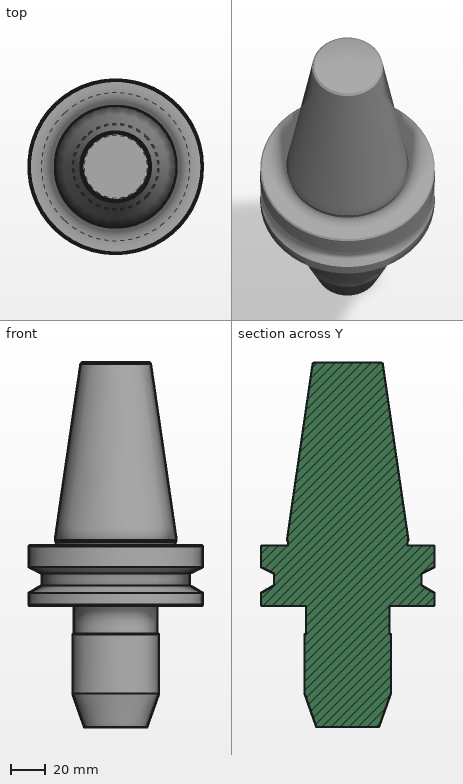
import cadquery as cq

total_height = 209.3
nose_cone_top = 19.5
body_top = 53.8
flange_bottom = 69.5
flange_top = 104.5
gauge_height = 107.4

flange_radius = 100.0 / 2
gauge_radius = 35.0
body_radius = 25.0
neck_radius = 24.0
nose_radius = 18.0

taper_length = total_height - gauge_height
taper_tip_radius = gauge_radius - taper_length * 7 / 24 / 2
tip_chamfer = 1.0
flange_chamfer = 0.8
body_chamfer = 0.6

groove_floor_radius = 42.5
groove_bottom = 77.0
groove_floor_bottom = 81.5
groove_floor_top = 88.1
groove_top = 91.9

collar_radius = 34.3
collar_bevel_height = 1.3


def cylinder(radius, bottom, top):
    return cq.Workplane("XY").workplane(offset=bottom).circle(radius).extrude(top - bottom)


def cone_frustum(bottom_radius, top_radius, bottom, top):
    base = cq.Workplane("XY").workplane(offset=bottom).circle(bottom_radius)
    return base.workplane(offset=top - bottom).circle(top_radius).loft(ruled=True)


def make_nose():
    """Cylindrical body with a conical nose and a narrower neck up to the flange."""
    cone = cone_frustum(nose_radius, body_radius, 0, nose_cone_top)
    body = cylinder(body_radius, nose_cone_top, body_top).faces(">Z").chamfer(body_chamfer)
    neck = cylinder(neck_radius, body_top, flange_bottom)
    return cone.union(body).union(neck)


def make_flange():
    """Chamfered disc with a V groove around its rim."""
    disc = cylinder(flange_radius, flange_bottom, flange_top)
    disc = disc.faces("<Z or >Z").chamfer(flange_chamfer)
    groove = (
        cq.Workplane("XZ")
        .moveTo(flange_radius, groove_bottom)
        .lineTo(groove_floor_radius, groove_floor_bottom)
        .lineTo(groove_floor_radius, groove_floor_top)
        .lineTo(flange_radius, groove_top)
        .close()
        .revolve(360, (0, 0, 0), (0, 1, 0))
    )
    return disc.cut(groove)


def make_shank():
    """Tapered shank standing on a short, slightly narrower collar."""
    bevel_bottom = gauge_height - collar_bevel_height
    collar = cylinder(collar_radius, flange_top, bevel_bottom)
    bevel = cone_frustum(collar_radius, gauge_radius, bevel_bottom, gauge_height)
    taper = cone_frustum(gauge_radius, taper_tip_radius, gauge_height, total_height)
    taper = taper.faces(">Z").chamfer(tip_chamfer)
    return collar.union(bevel).union(taper)


result = make_nose().union(make_flange()).union(make_shank())